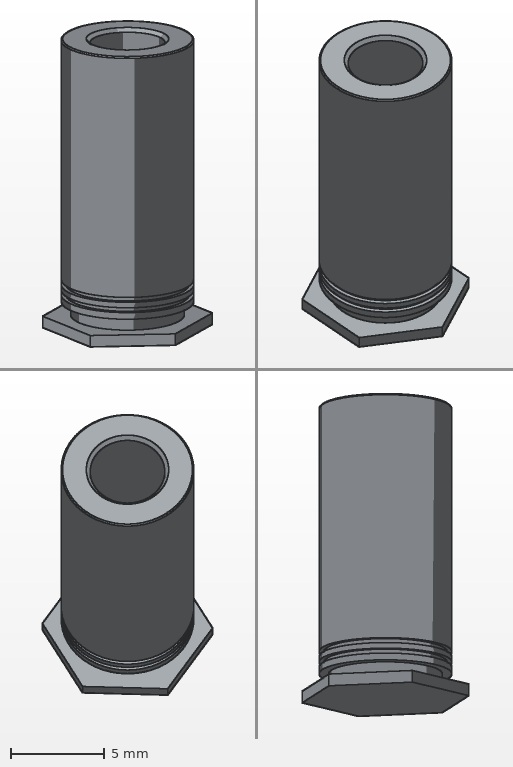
import cadquery as cq
import math

total_height = 16.0
hex_across_flats = 7.9
head_height = 0.64

body_diameter = 7.12
neck_diameter = 6.1
groove_diameter = 6.6
neck_top = 1.4
lower_ring_height = 0.37
groove_height = 0.27
upper_ring_height = 0.3
rim_chamfer = 0.08

bore_diameter = 4.0
bore_depth = 9.6
bore_mouth_diameter = 4.42
drill_point_angle = 120.0


def hex_head():
    """Hexagonal head with two corners on the X axis."""
    across_corners = hex_across_flats / math.cos(math.radians(30))
    return cq.Workplane("XY").polygon(6, across_corners).extrude(head_height)


def cylinder(diameter, bottom, top):
    """Solid cylinder on the Z axis between two heights."""
    return cq.Workplane("XY").workplane(offset=bottom).circle(diameter / 2).extrude(top - bottom)


def groove(bottom):
    """Ring-shaped cutter for one groove around the shank."""
    top = bottom + groove_height
    return cylinder(body_diameter, bottom, top).cut(cylinder(groove_diameter, bottom, top))


def shank():
    """Neck and grooved cylindrical body with a chamfered top rim."""
    body = cylinder(body_diameter, neck_top, total_height)
    body = body.faces(">Z").edges().chamfer(rim_chamfer)
    lower_groove_bottom = neck_top + lower_ring_height
    groove_pitch = groove_height + upper_ring_height
    for index in range(2):
        body = body.cut(groove(lower_groove_bottom + index * groove_pitch))
    return cylinder(neck_diameter, head_height, neck_top).union(body)


def bore():
    """Blind bore cutter with a countersunk mouth and a conical drill point."""
    radius = bore_diameter / 2
    mouth_radius = bore_mouth_diameter / 2
    mouth_depth = mouth_radius - radius
    bore_bottom = total_height - bore_depth
    point_depth = radius / math.tan(math.radians(drill_point_angle / 2))
    profile = (
        cq.Workplane("XZ")
        .moveTo(0, total_height)
        .lineTo(mouth_radius, total_height)
        .lineTo(radius, total_height - mouth_depth)
        .lineTo(radius, bore_bottom)
        .lineTo(0, bore_bottom - point_depth)
        .close()
    )
    return profile.revolve(360, (0, 0, 0), (0, 1, 0))


result = hex_head().union(shank()).cut(bore())